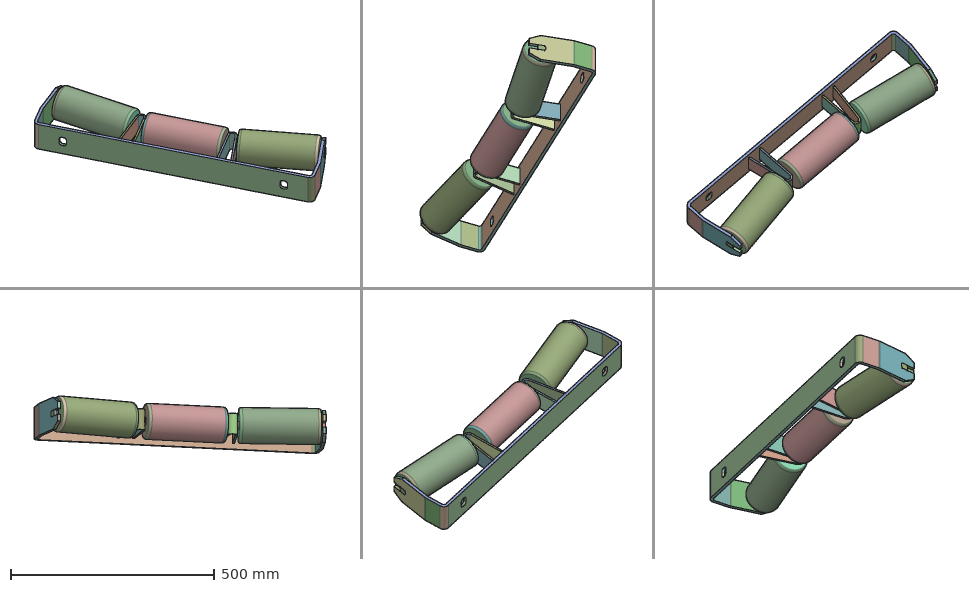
import cadquery as cq
import math

FRAME_LENGTH = 720.0
STRIP_WIDTH = 80.0
STRIP_THICKNESS = 8.0
BEND_RADIUS = 14.5
TILT = 10.0
ARM_BEND_Y = 60.5
ARM_TIP_Y = 173.5
TIP_CHAMFER_LENGTH = 29.0
TIP_CHAMFER_WIDTH = 16.0

MOUNT_HOLE_X = 284.0
MOUNT_HOLE_WIDTH = 19.0
MOUNT_HOLE_HEIGHT = 26.0
MOUNT_HOLE_CORNER = 7.0

BRACKET_WIDTH = 52.0
BRACKET_THICKNESS = 5.0
BRACKET_FACE_X = 105.0
BRACKET_TOP_RADIUS = 12.0
BRACKET_TOP_Y = 127.0

ROLLER_DIAMETER = 89.0
ROLLER_LENGTH = 201.5
ROLLER_EDGE_LENGTH = 7.0
ROLLER_EDGE_DEPTH = 3.5
CENTRE_ROLLER_Y = 101.0
SIDE_ROLLER_X = 235.0
SIDE_ROLLER_Y = 122.5
AXLE_DIAMETER = 20.0
AXLE_FLAT_WIDTH = 15.0

HALF_LENGTH = FRAME_LENGTH / 2
SIN_TILT = math.sin(math.radians(TILT))
COS_TILT = math.cos(math.radians(TILT))
TAN_TILT = math.tan(math.radians(TILT))
AXLE_RADIUS = AXLE_DIAMETER / 2
ROLLER_RADIUS = ROLLER_DIAMETER / 2

BRACKET_TOP_X = -BRACKET_FACE_X - BRACKET_TOP_RADIUS
BRACKET_CENTRE_Y = BRACKET_TOP_Y - BRACKET_TOP_RADIUS

ARM_START_X = -HALF_LENGTH + BEND_RADIUS * (1 - COS_TILT)
ARM_START_Y = ARM_BEND_Y + BEND_RADIUS * SIN_TILT
ARM_TIP_X = ARM_START_X + (ARM_TIP_Y - ARM_START_Y) * TAN_TILT

CENTRE_FROM_TIP_X = -SIDE_ROLLER_X - ARM_TIP_X
CENTRE_FROM_TIP_Y = SIDE_ROLLER_Y - ARM_TIP_Y
AXIS_DEPTH = -CENTRE_FROM_TIP_X * SIN_TILT - CENTRE_FROM_TIP_Y * COS_TILT
ARM_FACE_OFFSET = CENTRE_FROM_TIP_X * COS_TILT - CENTRE_FROM_TIP_Y * SIN_TILT


def mirror_x(shape):
    return shape.mirror("YZ")


def half_frame():
    """-X half of the bent strip: base, arm and leaning arm end."""
    inner_radius = BEND_RADIUS - STRIP_THICKNESS
    inner_x = -HALF_LENGTH + STRIP_THICKNESS
    corner_x = -HALF_LENGTH + BEND_RADIUS
    diagonal = math.sqrt(0.5)
    half_sin = math.sin(math.radians(TILT / 2))
    half_cos = math.cos(math.radians(TILT / 2))
    outline = (
        cq.Workplane("XY")
        .moveTo(0, 0)
        .lineTo(corner_x, 0)
        .threePointArc(
            (corner_x - BEND_RADIUS * diagonal, BEND_RADIUS - BEND_RADIUS * diagonal),
            (-HALF_LENGTH, BEND_RADIUS),
        )
        .lineTo(-HALF_LENGTH, ARM_BEND_Y)
        .threePointArc(
            (corner_x - BEND_RADIUS * half_cos, ARM_BEND_Y + BEND_RADIUS * half_sin),
            (ARM_START_X, ARM_START_Y),
        )
        .lineTo(ARM_TIP_X, ARM_TIP_Y)
        .lineTo(ARM_TIP_X + STRIP_THICKNESS * COS_TILT, ARM_TIP_Y - STRIP_THICKNESS * SIN_TILT)
        .lineTo(corner_x - inner_radius * COS_TILT, ARM_BEND_Y + inner_radius * SIN_TILT)
        .threePointArc(
            (corner_x - inner_radius * half_cos, ARM_BEND_Y + inner_radius * half_sin),
            (inner_x, ARM_BEND_Y),
        )
        .lineTo(inner_x, BEND_RADIUS)
        .threePointArc(
            (corner_x - inner_radius * diagonal, BEND_RADIUS - inner_radius * diagonal),
            (corner_x, STRIP_THICKNESS),
        )
        .lineTo(0, STRIP_THICKNESS)
        .close()
    )
    strip = outline.extrude(STRIP_WIDTH / 2, both=True)
    return strip.cut(tip_chamfers()).cut(axle_slot()).cut(mount_hole())


def arm_face():
    """Workplane on the outer arm face at the tip: local X up the arm, local Y along Z, normal inward."""
    return cq.Workplane(
        cq.Plane(
            origin=(ARM_TIP_X, ARM_TIP_Y, 0),
            xDir=(SIN_TILT, COS_TILT, 0),
            normal=(COS_TILT, -SIN_TILT, 0),
        )
    )


def tip_chamfers():
    half_width = STRIP_WIDTH / 2
    corner = (
        arm_face()
        .polyline([
            (0, half_width),
            (-TIP_CHAMFER_LENGTH, half_width),
            (0, half_width - TIP_CHAMFER_WIDTH),
        ])
        .close()
        .extrude(STRIP_THICKNESS)
    )
    return corner.union(corner.mirror("XY"))


def flatted_axle_outline(top):
    """Round-bottomed outline as wide as the axle flats, with a flat end at the given local X."""
    half_flat = AXLE_FLAT_WIDTH / 2
    shoulder = -AXIS_DEPTH - math.sqrt(AXLE_RADIUS**2 - half_flat**2)
    return (
        arm_face()
        .moveTo(top, half_flat)
        .lineTo(shoulder, half_flat)
        .threePointArc((-AXIS_DEPTH - AXLE_RADIUS, 0), (shoulder, -half_flat))
        .lineTo(top, -half_flat)
        .close()
    )


def axle_slot():
    return flatted_axle_outline(AXLE_RADIUS).extrude(STRIP_THICKNESS)


def mount_hole():
    return (
        cq.Workplane("XY")
        .box(MOUNT_HOLE_WIDTH, 2 * STRIP_THICKNESS, MOUNT_HOLE_HEIGHT)
        .edges("|Y")
        .fillet(MOUNT_HOLE_CORNER)
        .translate((-MOUNT_HOLE_X, STRIP_THICKNESS / 2, 0))
    )


def bracket_profile(radius):
    """Inverted V rounded over its top, for the -X side, standing on the frame base."""
    tangent_x = BRACKET_TOP_X - radius * COS_TILT
    tangent_y = BRACKET_CENTRE_Y + radius * SIN_TILT
    foot_x = tangent_x - (tangent_y - STRIP_THICKNESS) * TAN_TILT
    return (
        cq.Workplane("XY")
        .moveTo(BRACKET_TOP_X + radius, STRIP_THICKNESS)
        .lineTo(BRACKET_TOP_X + radius, BRACKET_CENTRE_Y)
        .threePointArc((BRACKET_TOP_X, BRACKET_CENTRE_Y + radius), (tangent_x, tangent_y))
        .lineTo(foot_x, STRIP_THICKNESS)
        .close()
        .extrude(BRACKET_WIDTH / 2, both=True)
    )


def bracket():
    return bracket_profile(BRACKET_TOP_RADIUS).cut(bracket_profile(BRACKET_TOP_RADIUS - BRACKET_THICKNESS))


def roller_drum():
    """Drum centred on the origin with its axis along X."""
    half_length = ROLLER_LENGTH / 2
    rim_start = half_length - ROLLER_EDGE_LENGTH
    face_radius = ROLLER_RADIUS - ROLLER_EDGE_DEPTH
    return (
        cq.Workplane("XY")
        .moveTo(-half_length, 0)
        .lineTo(-half_length, face_radius)
        .ellipseArc(ROLLER_EDGE_LENGTH, ROLLER_EDGE_DEPTH, 90, 180, sense=-1, startAtCurrent=True)
        .lineTo(rim_start, ROLLER_RADIUS)
        .ellipseArc(ROLLER_EDGE_LENGTH, ROLLER_EDGE_DEPTH, 0, 90, sense=-1, startAtCurrent=True)
        .lineTo(half_length, 0)
        .close()
        .revolve(360, (0, 0, 0), (1, 0, 0))
    )


def make_carrier():
    """Frame and brackets in one piece with the fixed centre roller."""
    half = half_frame().union(bracket())
    axle = cq.Workplane("YZ").circle(AXLE_RADIUS).extrude(BRACKET_FACE_X, both=True)
    centre_roller = roller_drum().union(axle).translate((0, CENTRE_ROLLER_Y, 0))
    return half.union(mirror_x(half)).union(centre_roller)


def make_side_roller():
    """Roller on the -X side, reaching from the bracket leg to the slotted frame arm."""
    leg_x = BRACKET_TOP_X - BRACKET_TOP_RADIUS * COS_TILT
    leg_y = BRACKET_CENTRE_Y + BRACKET_TOP_RADIUS * SIN_TILT
    leg_reach = (leg_x + SIDE_ROLLER_X) * COS_TILT - (leg_y - SIDE_ROLLER_Y) * SIN_TILT
    arm_reach = ARM_FACE_OFFSET - STRIP_THICKNESS
    axle = (
        cq.Workplane("YZ", origin=(-arm_reach, 0, 0))
        .circle(AXLE_RADIUS)
        .extrude(arm_reach + leg_reach)
    )
    placed = (
        roller_drum()
        .union(axle)
        .rotate((0, 0, 0), (0, 0, 1), -TILT)
        .translate((-SIDE_ROLLER_X, SIDE_ROLLER_Y, 0))
    )
    axle_end = flatted_axle_outline(AXLE_RADIUS - AXIS_DEPTH).extrude(STRIP_THICKNESS)
    return placed.union(axle_end)


carrier = make_carrier()

left_roller = make_side_roller()
side_rollers = [left_roller, mirror_x(left_roller)]

result = cq.Compound.makeCompound([carrier.val(), *[roller.val() for roller in side_rollers]])